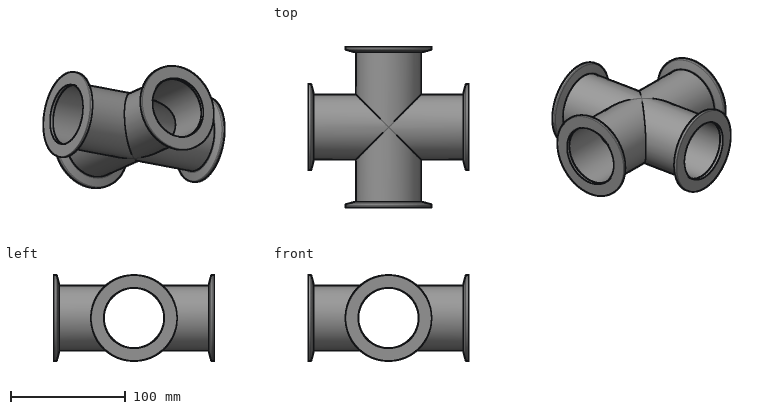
import cadquery as cq
import math

span = 140.0
flange_diameter = 75.0
tube_diameter = 57.0
tube_bore_diameter = 52.2

flange_thickness = 5.0
flange_bore_diameter = 52.6
cone_angle = 15
hub_step = 1.0
front_rounding = 0.3
back_rounding = 1.0
socket_depth = 2.0

flange_radius = flange_diameter / 2
tube_radius = tube_diameter / 2
tube_bore_radius = tube_bore_diameter / 2
flange_bore_radius = flange_bore_diameter / 2
hub_radius = tube_radius + hub_step
face_position = span / 2
hub_position = face_position - flange_thickness
cone_length = (flange_radius - hub_radius) * math.tan(math.radians(cone_angle))
rim_back_position = hub_position + cone_length
tube_length = 2 * (hub_position + socket_depth)


def crossed_cylinders(radius, length):
    """Two equal cylinders along X and Y, crossing at the origin."""
    along_x = cq.Workplane("YZ").circle(radius).extrude(length / 2, both=True)
    along_y = cq.Workplane("XZ").circle(radius).extrude(length / 2, both=True)
    return along_x.union(along_y)


def make_cross():
    """Four-way tube with a bore through both axes."""
    outside = crossed_cylinders(tube_radius, tube_length)
    return outside.cut(crossed_cylinders(tube_bore_radius, span))


def make_flange():
    """Clamp flange on the +X end: a ring with a rounded rim, a conical back and a tube socket."""
    ring = (
        cq.Workplane("XY")
        .moveTo(face_position, flange_bore_radius)
        .lineTo(face_position, flange_radius)
        .lineTo(rim_back_position, flange_radius)
        .lineTo(hub_position, hub_radius)
        .lineTo(hub_position, flange_bore_radius)
        .close()
        .revolve(360, (0, 0, 0), (1, 0, 0))
    )
    ring = ring.faces(">X").edges(cq.selectors.RadiusNthSelector(-1)).fillet(front_rounding)
    back_edge = ring.edges(cq.selectors.RadiusNthSelector(-1)).edges("<X")
    ring = back_edge.fillet(back_rounding)
    socket = cq.Workplane("YZ", origin=(hub_position, 0, 0)).circle(tube_radius).extrude(socket_depth)
    return ring.cut(socket)


cross = make_cross()
flange = make_flange()
flanges = [flange.rotate((0, 0, 0), (0, 0, 1), angle) for angle in (0, 90, 180, 270)]

result = cq.Compound.makeCompound([cross.val(), *[each.val() for each in flanges]])